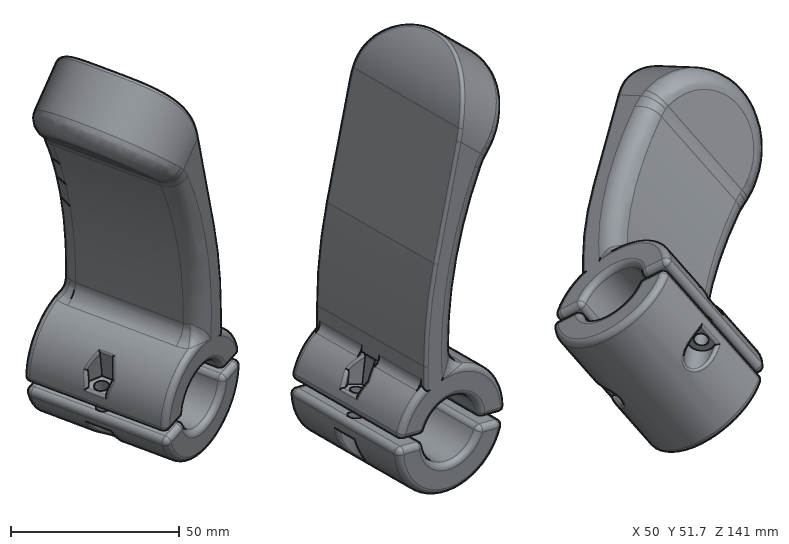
import cadquery as cq
import math

width = 50.0
ring_radius = 21.0
bore_radius = 11.0
gap_above = 1.1
gap_below = 1.5
split_tilt = 7.1
ring_fillet = 2.0

screw_offset = 16.5
screw_hole = 4.5
screw_wall = 5.6
nut_flats = 7.6
head_recess = 8.7
mouth_fillet = 1.0

arm_base_z = 16.9
front_low = (-2.3, arm_base_z)
front_mid = (-4.1, 52.1)
front_high = (-15.4, 86.2)
face_run = 35.2
bend_fillet = 12.0
back_straight_low = (6.5, 59.1)
back_lean = 13.2
back_straight_length = 43.7
back_low_radius = 147.9
back_tip = (-18.0, 122.5)
front_fillet = 6.0
back_fillet = 1.0
root_blend = 4.0
root_blend_gap = 7.9

tip_angle = 41
tip_reach = 100.7
tip_radius = width / 2


def polar(center, radius, angle):
    """The (Y, Z) point at a radius and an angle in degrees from a center."""
    turn = math.radians(angle)
    return (center[0] + radius * math.cos(turn), center[1] + radius * math.sin(turn))


back_center = polar(back_straight_low, -back_low_radius, back_lean)
back_wall_y = back_center[0] + back_low_radius


def tilted(shape):
    return shape.rotate((0, 0, 0), (1, 0, 0), split_tilt)


def ring_half(side, clearance):
    """Half of the split ring, above (side = 1) or below (side = -1) the gap, before tilting."""
    ring = (
        cq.Workplane("YZ")
        .circle(ring_radius)
        .circle(bore_radius)
        .extrude(width / 2, both=True)
    )
    keep = cq.Workplane("XY").box(width, 2 * ring_radius, ring_radius, centered=(True, True, False))
    keep = keep.translate((0, 0, clearance))
    if side < 0:
        keep = keep.mirror("XY")
    return ring.intersect(keep).edges().fillet(ring_fillet)


def screw_cuts(side, clearance, recess_outline):
    """Screw holes and, beyond a wall of screw_wall, the recesses for the nuts or screw heads."""
    places = cq.Workplane("XY").pushPoints([(0, -screw_offset), (0, screw_offset)])
    holes = places.circle(screw_hole / 2).extrude(ring_radius)
    recesses = recess_outline(places).extrude(ring_radius).translate((0, 0, clearance + screw_wall))
    cuts = holes.union(recesses)
    if side < 0:
        cuts = cuts.mirror("XY")
    return cuts


def on_mouth(edge):
    """True for the edges where a recess opens through the outside of the ring."""
    middle = edge.positionAt(0.5)
    on_ring = abs(math.hypot(middle.y, middle.z) - ring_radius) < 0.03
    return on_ring and abs(middle.x) < head_recess / 2 + 0.1


def nut_outline(plane):
    return plane.polygon(6, nut_flats / math.cos(math.radians(30)))


def head_outline(plane):
    return plane.circle(head_recess / 2)


def arm_plate():
    """The bowed plate at full width, with its front bent forward at the top."""
    back_straight_high = polar(back_straight_low, back_straight_length, 90 + back_lean)
    back_mid = polar(back_center, back_low_radius, back_lean / 2)
    plate = (
        cq.Workplane("YZ")
        .moveTo(back_wall_y, arm_base_z)
        .lineTo(back_wall_y, back_center[1])
        .threePointArc(back_mid, back_straight_low)
        .lineTo(*back_straight_high)
        .tangentArcPoint(back_tip, relative=False)
        .lineTo(front_high[0] - face_run, front_high[1] + face_run)
        .lineTo(*front_high)
        .threePointArc(front_mid, front_low)
        .close()
        .extrude(width / 2, both=True)
    )
    bend = cq.selectors.NearestToPointSelector((0, *front_high))
    return plate.edges("|X").edges(bend).fillet(bend_fillet)


def tip_outline():
    """A bar with a half-round end that trims the plate."""
    round_start = tip_reach - tip_radius
    return (
        cq.Workplane("XY")
        .moveTo(-tip_radius, 0)
        .lineTo(-tip_radius, round_start)
        .threePointArc((0, tip_reach), (tip_radius, round_start))
        .lineTo(tip_radius, 0)
        .close()
        .extrude(tip_reach, both=True)
        .rotate((0, 0, 0), (1, 0, 0), 90 + tip_angle)
    )


def arm():
    """The trimmed plate: each rounded rim runs up one side, around the tip and down the other."""
    trimmed = arm_plate().intersect(tip_outline())
    back_straight_mid = polar(back_straight_low, back_straight_length / 2, 90 + back_lean)
    front_rim = cq.selectors.NearestToPointSelector((tip_radius, *front_mid))
    back_rim = cq.selectors.NearestToPointSelector((tip_radius, *back_straight_mid))
    return trimmed.edges(front_rim).fillet(front_fillet).edges(back_rim).fillet(back_fillet)


def root_blends():
    """Concave fillet between the arm's back and the ring, left open in front of the rear recess."""
    blend_y = back_wall_y + root_blend
    blend_z = math.sqrt((ring_radius + root_blend) ** 2 - blend_y**2)
    ring_side = math.degrees(math.atan2(blend_z, blend_y))
    center = (blend_y, blend_z)
    ring_touch = polar(center, -root_blend, ring_side)
    arc_middle = polar(center, root_blend, (180 + 180 + ring_side) / 2)
    length = width / 2 - ring_fillet - root_blend_gap / 2
    strip = (
        cq.Workplane("YZ", origin=(root_blend_gap / 2, 0, 0))
        .moveTo(back_wall_y, blend_z)
        .threePointArc(arc_middle, ring_touch)
        .lineTo(back_wall_y, arm_base_z)
        .close()
        .extrude(length)
    )
    return strip.union(strip.mirror("YZ"))


def lever_body():
    half = ring_half(1, gap_above).cut(screw_cuts(1, gap_above, nut_outline))
    half = half.edges().filter(on_mouth).fillet(mouth_fillet)
    body = tilted(half).union(arm())
    front_root = cq.selectors.NearestToPointSelector((0, front_low[0], ring_radius))
    return body.edges("|X").edges(front_root).fillet(front_fillet).union(root_blends())


def cap_body():
    half = ring_half(-1, gap_below).cut(screw_cuts(-1, gap_below, head_outline))
    return tilted(half.edges().filter(on_mouth).fillet(mouth_fillet))


lever = lever_body()
cap = cap_body()

result = cq.Compound.makeCompound([lever.val(), cap.val()])